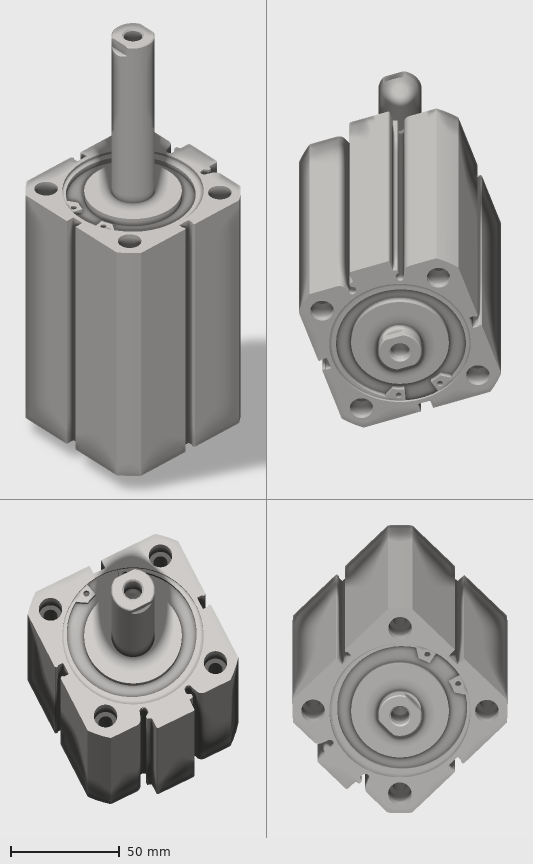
import cadquery as cq
import math


body_width = 77.5
half_width = body_width / 2
body_height = 126.0
corner_radius = 49.5
bore_radius = 32.5

slot_width = 6.0
slot_floor = 34.5
side_lip_height = 0.5
side_lip_depth = 1.5

rail_half_width = 9.75
rail_top = half_width + 5.5
rail_corner = 0.5
hook_reach = 11.7
hook_top = 38.1
hook_bottom = 36.7
hook_root = 35.5
groove_center_x = 11.6
groove_center_y = 34.1
groove_radius = groove_center_x - rail_half_width
groove_lip_x = 14.5
groove_lip_y = 36.8
groove_mouth_x = 17.5
lip_arc_x = 15.7
lip_arc_y = 38.2

mount_spacing = 80.0 / math.sqrt(2)
mount_diameter = 6.6
mount_head_diameter = 10.8
mount_head_depth = 14.0

ring_inset = 1.3
ring_thickness = 2.7
ring_outer_radius = 34.3
ring_inner_radius = 29.9
ring_offset = 1.4

ear_inner_radius = 26.4
ear_gap_angle = 14.0
ear_far_angle = 26.0
ear_root_angle = 31.0
ear_root_radius = 30.7
ear_hole_diameter = 2.8
ear_hole_radius = 29.6
ear_hole_angle = 19.8

cover_thickness = 15.0
cover_seat = ring_inset + ring_thickness
boss_radius = 22.5

rod_radius = 10.0
rod_top = body_height + 88.0
rod_bottom = -8.0
rod_chamfer = 0.5
flat_offset = 8.5
flat_length = 5.0
tap_diameter = 8.5
tap_depth = 15.0
tap_mouth_diameter = 10.0
tap_point_angle = 118.0


def polar(radius, angle_from_minus_y):
    """Point at a radius and an angle measured from the -Y direction toward +X."""
    angle = math.radians(angle_from_minus_y)
    return (radius * math.sin(angle), -radius * math.cos(angle))


def flipped(shape):
    """Copy for the lower end, mirrored about the housing's middle plane."""
    return shape.mirror("XY", (0, 0, body_height / 2))


def make_rail_groove(side):
    """Hooked groove beside the rail; side is -1 or +1 along X."""

    def at(x, y):
        return (side * x, y)

    return (
        cq.Workplane("XY")
        .moveTo(*at(groove_mouth_x, half_width))
        .threePointArc(at(lip_arc_x, lip_arc_y), at(groove_lip_x, groove_lip_y))
        .lineTo(*at(groove_center_x + groove_radius, groove_center_y))
        .threePointArc(
            at(groove_center_x, groove_center_y - groove_radius),
            at(rail_half_width, groove_center_y),
        )
        .lineTo(*at(rail_half_width, hook_root))
        .lineTo(*at(hook_reach, hook_bottom))
        .lineTo(*at(hook_reach, hook_top))
        .lineTo(*at(rail_half_width, half_width))
        .close()
        .extrude(body_height)
    )


def make_side_slot(side):
    """Slot in the -X or +X face, narrowed at its mouth by a pair of beveled lips."""
    half_slot = slot_width / 2
    half_mouth = half_slot - side_lip_height
    bevel_x = half_width - side_lip_height
    lip_x = half_width - side_lip_depth
    upper_edge = [
        (side * half_width, half_slot),
        (side * bevel_x, half_mouth),
        (side * lip_x, half_mouth),
        (side * lip_x, half_slot),
        (side * slot_floor, half_slot),
    ]
    lower_edge = [(x, -y) for x, y in reversed(upper_edge)]
    return cq.Workplane("XY").polyline(upper_edge + lower_edge).close().extrude(body_height)


def make_housing():
    block = cq.Workplane("XY").rect(body_width, body_width).extrude(body_height)
    block = block.intersect(cq.Workplane("XY").circle(corner_radius).extrude(body_height))

    rail = (
        cq.Workplane("XY")
        .center(0, rail_top / 2)
        .rect(2 * rail_half_width, rail_top)
        .extrude(body_height)
        .edges("|Z and >Y")
        .chamfer(rail_corner)
    )
    block = block.union(rail)
    for side in (-1, 1):
        block = block.cut(make_rail_groove(side)).cut(make_side_slot(side))

    front_slot = (
        cq.Workplane("XY")
        .center(0, -(slot_floor + half_width) / 2)
        .rect(slot_width, half_width - slot_floor)
        .extrude(body_height)
    )
    block = block.cut(front_slot)

    bore = cq.Workplane("XY").circle(bore_radius).extrude(body_height)
    ring_groove = (
        cq.Workplane("XY")
        .workplane(offset=body_height - cover_seat)
        .circle(ring_outer_radius)
        .extrude(ring_thickness)
    )
    block = block.cut(bore).cut(ring_groove).cut(flipped(ring_groove))

    mounts = cq.Workplane("XY").rect(mount_spacing, mount_spacing, forConstruction=True).vertices()
    holes = mounts.circle(mount_diameter / 2).extrude(body_height)
    heads = mounts.circle(mount_head_diameter / 2).extrude(mount_head_depth)
    return block.cut(holes).cut(heads).cut(flipped(heads))


def make_cover():
    """Upper cover: a disc held below the ring, with a boss flush with the housing end."""
    disc_bottom = body_height - cover_seat - cover_thickness
    return (
        cq.Workplane("XY")
        .workplane(offset=disc_bottom)
        .circle(bore_radius)
        .extrude(cover_thickness)
        .faces(">Z")
        .workplane()
        .circle(boss_radius)
        .extrude(cover_seat)
        .cut(
            cq.Workplane("XY")
            .workplane(offset=disc_bottom)
            .circle(rod_radius)
            .extrude(cover_thickness + cover_seat)
        )
    )


def make_ring():
    """Upper internal retaining ring, open toward -Y between its two ears."""
    plane = cq.Workplane("XY").workplane(offset=body_height - cover_seat)
    ring = plane.circle(ring_outer_radius).extrude(ring_thickness)
    ring = ring.cut(plane.center(0, -ring_offset).circle(ring_inner_radius).extrude(ring_thickness))

    gap_reach = 2 * ring_outer_radius
    gap = (
        plane.polyline([(0, 0), polar(gap_reach, -ear_gap_angle), polar(gap_reach, ear_gap_angle)])
        .close()
        .extrude(ring_thickness)
    )
    ring = ring.cut(gap)

    ear_tip_angle = (ear_gap_angle + ear_far_angle) / 2
    ear_middle_angle = (ear_gap_angle + ear_root_angle) / 2
    for side in (-1, 1):
        ear = (
            plane.moveTo(*polar(ring_outer_radius, side * ear_gap_angle))
            .lineTo(*polar(ear_inner_radius, side * ear_gap_angle))
            .threePointArc(
                polar(ear_inner_radius, side * ear_tip_angle),
                polar(ear_inner_radius, side * ear_far_angle),
            )
            .lineTo(*polar(ear_root_radius, side * ear_root_angle))
            .lineTo(*polar(ring_outer_radius, side * ear_root_angle))
            .threePointArc(
                polar(ring_outer_radius, side * ear_middle_angle),
                polar(ring_outer_radius, side * ear_gap_angle),
            )
            .close()
            .extrude(ring_thickness)
        )
        hole = (
            plane.center(*polar(ear_hole_radius, side * ear_hole_angle))
            .circle(ear_hole_diameter / 2)
            .extrude(ring_thickness)
        )
        ring = ring.union(ear).cut(hole)
    return ring


def make_end_flat(tip_z, inward, side):
    """Cutter for one wrench flat; its inner end runs out at 45 degrees."""
    run_out = rod_radius - flat_offset
    shoulder_z = tip_z + inward * flat_length
    return (
        cq.Workplane("YZ")
        .polyline(
            [
                (side * flat_offset, tip_z),
                (side * flat_offset, shoulder_z),
                (side * rod_radius, shoulder_z + inward * run_out),
                (side * rod_radius, tip_z),
            ]
        )
        .close()
        .extrude(rod_radius, both=True)
    )


def make_tapped_hole(tip_z, inward):
    """Cutter for a blind hole with a countersunk mouth and a drill-point bottom."""
    mouth_radius = tap_mouth_diameter / 2
    hole_radius = tap_diameter / 2
    point_length = hole_radius / math.tan(math.radians(tap_point_angle / 2))
    return (
        cq.Workplane("XZ")
        .polyline(
            [
                (0, tip_z),
                (mouth_radius, tip_z),
                (hole_radius, tip_z + inward * (mouth_radius - hole_radius)),
                (hole_radius, tip_z + inward * tap_depth),
                (0, tip_z + inward * (tap_depth + point_length)),
            ]
        )
        .close()
        .revolve(360, (0, 0, 0), (0, 1, 0))
    )


def make_rod():
    rod = (
        cq.Workplane("XY")
        .workplane(offset=rod_bottom)
        .circle(rod_radius)
        .extrude(rod_top - rod_bottom)
        .faces("<Z or >Z")
        .chamfer(rod_chamfer)
    )
    for tip_z, inward in ((rod_bottom, 1), (rod_top, -1)):
        rod = rod.cut(make_tapped_hole(tip_z, inward))
        for side in (-1, 1):
            rod = rod.cut(make_end_flat(tip_z, inward, side))
    return rod


housing = make_housing()
upper_cover = make_cover()
lower_cover = flipped(upper_cover)
upper_ring = make_ring()
lower_ring = flipped(upper_ring)
rod = make_rod()

bodies = [housing, upper_cover, lower_cover, upper_ring, lower_ring, rod]
result = cq.Compound.makeCompound([body.solids().val() for body in bodies])